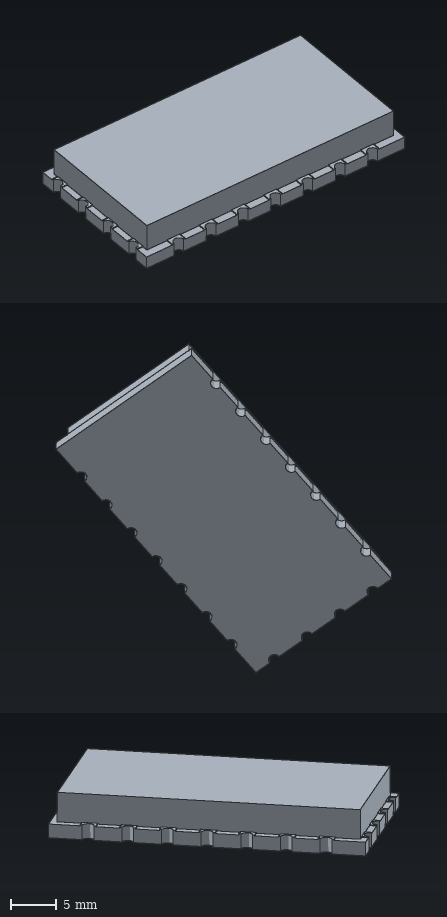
import cadquery as cq

board_width = 19.0
board_length = 35.6
board_thickness = 1.6

cover_width = 17.0
cover_length = 34.0
overall_height = 5.0

contact_width = 1.8
contact_reach = 1.2
contact_rise = 0.1
contact_height = board_thickness + contact_rise

notch_radius = 0.65
notch_turn = -90

side_contacts = 7
side_pitch = 4.45
front_contacts = 4
front_pitch = 4.6


def block(width, length, height, x=0, y=0):
    """Box standing on Z = 0, centred at (x, y)."""
    return cq.Workplane("XY").center(x, y).rect(width, length).extrude(height)


def centered_positions(count, pitch):
    """Evenly spaced coordinates centred on zero."""
    return [(i - (count - 1) / 2) * pitch for i in range(count)]


def side_contact(side, y):
    """Contact on the long edge at +X (side = 1) or -X (side = -1)."""
    x = side * (board_width - contact_reach) / 2
    return block(contact_reach, contact_width, contact_height, x, y)


def front_contact(x):
    """Contact on the -Y edge."""
    y = -(board_length - contact_reach) / 2
    return block(contact_width, contact_reach, contact_height, x, y)


def notch(x, y):
    """Cylinder cutting a half-round notch, turned so its seam stays off the notch wall."""
    cylinder = cq.Workplane("XY").circle(notch_radius).extrude(contact_height)
    return cylinder.rotate((0, 0, 0), (0, 0, 1), notch_turn).translate((x, y, 0))


side_rows = [(side, y) for side in (-1, 1) for y in centered_positions(side_contacts, side_pitch)]
front_row = centered_positions(front_contacts, front_pitch)

contacts = [side_contact(side, y) for side, y in side_rows]
contacts += [front_contact(x) for x in front_row]

body = block(board_width, board_length, board_thickness)
body = body.union(block(cover_width, cover_length, overall_height), clean=False)
for contact in contacts:
    body = body.union(contact, clean=False)

notch_centers = [(side * board_width / 2, y) for side, y in side_rows]
notch_centers += [(x, -board_length / 2) for x in front_row]
for x, y in notch_centers:
    body = body.cut(notch(x, y), clean=False)

result = body